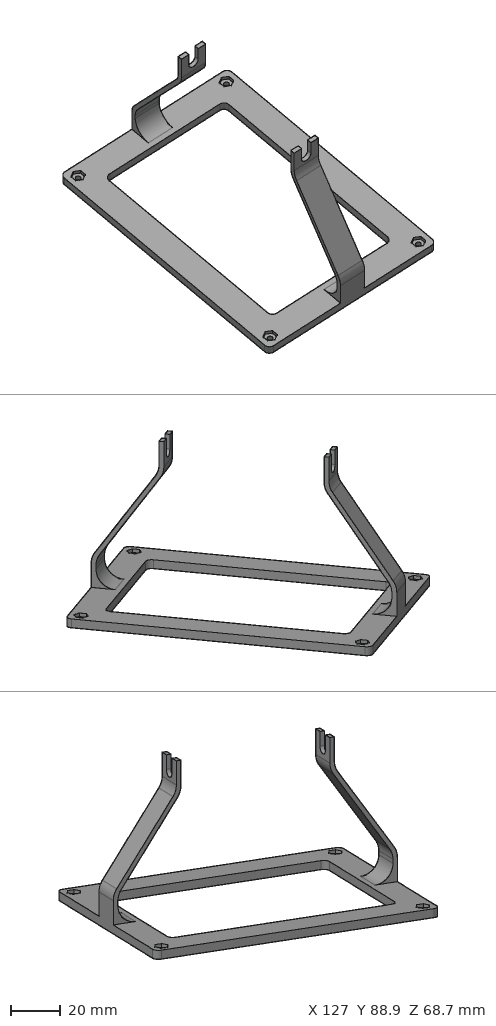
import cadquery as cq
import math

LENGTH = 127.0
WIDTH = 88.9
HEIGHT = 68.7
PLATE = 3.8
BORDER = 12.7
CORNER_RADIUS = 2.5

HOLE_INSET = 5.1
HOLE_DIAMETER = 2.3
NUT_FLATS = 5.1
NUT_DEPTH = 1.5

ARM_WIDTH = 12.8
ARM_THICKNESS = 2.0
ARM_REACH = 30.2
LOWER_BEND_Z = 16.6
UPPER_BEND_Z = 56.0
BEND_RADIUS = 8.0
FOOT_RADIUS = 8.0
SLOT_WIDTH = 5.0
SLOT_DEPTH = 8.6


def make_frame():
    plate = cq.Workplane("XY").box(LENGTH, WIDTH, PLATE, centered=(True, True, False))
    opening = cq.Workplane("XY").box(
        LENGTH - 2 * BORDER, WIDTH - 2 * BORDER, PLATE, centered=(True, True, False)
    )
    frame = plate.edges("|Z").fillet(CORNER_RADIUS).cut(opening.edges("|Z").fillet(CORNER_RADIUS))
    hole_pattern = (
        cq.Workplane("XY")
        .rect(LENGTH - 2 * HOLE_INSET, WIDTH - 2 * HOLE_INSET, forConstruction=True)
        .vertices()
    )
    holes = hole_pattern.circle(HOLE_DIAMETER / 2).extrude(PLATE)
    nut_corners = NUT_FLATS / math.cos(math.radians(30))
    nuts = hole_pattern.polygon(6, nut_corners).extrude(NUT_DEPTH)
    return frame.cut(holes).cut(nuts.translate((0, 0, PLATE - NUT_DEPTH)))


def make_left_arm():
    outer_x = -LENGTH / 2
    inner_x = outer_x + ARM_THICKNESS
    tip_inner_x = outer_x + ARM_REACH
    tip_outer_x = tip_inner_x - ARM_THICKNESS

    slope = math.atan2(tip_outer_x - outer_x, UPPER_BEND_Z - LOWER_BEND_Z)
    miter_drop = ARM_THICKNESS * math.tan(slope / 2)
    profile = [
        (outer_x, PLATE),
        (outer_x, LOWER_BEND_Z),
        (tip_outer_x, UPPER_BEND_Z),
        (tip_outer_x, HEIGHT),
        (tip_inner_x, HEIGHT),
        (tip_inner_x, UPPER_BEND_Z - miter_drop),
        (inner_x, LOWER_BEND_Z - miter_drop),
        (inner_x, PLATE),
    ]
    arm = cq.Workplane("XZ").polyline(profile).close().extrude(ARM_WIDTH / 2, both=True)

    for x, z in (profile[1], profile[2], profile[5], profile[6]):
        bend_edge = arm.edges(cq.selectors.NearestToPointSelector((x, 0, z)))
        arm = bend_edge.fillet(BEND_RADIUS)

    foot_x = inner_x + FOOT_RADIUS
    foot_z = PLATE + FOOT_RADIUS
    diagonal = FOOT_RADIUS * math.sqrt(0.5)
    foot = (
        cq.Workplane("XZ")
        .moveTo(inner_x, PLATE)
        .lineTo(foot_x, PLATE)
        .threePointArc((foot_x - diagonal, foot_z - diagonal), (inner_x, foot_z))
        .close()
        .extrude(ARM_WIDTH / 2, both=True)
    )

    slot_center_z = HEIGHT - SLOT_DEPTH + SLOT_WIDTH / 2
    slot_top = (
        cq.Workplane("XY")
        .box(ARM_THICKNESS, SLOT_WIDTH, HEIGHT - slot_center_z, centered=(False, True, False))
        .translate((tip_outer_x, 0, slot_center_z))
    )
    slot_bottom = (
        cq.Workplane("YZ", origin=(tip_outer_x, 0, slot_center_z))
        .circle(SLOT_WIDTH / 2)
        .extrude(ARM_THICKNESS)
    )
    return arm.union(foot).cut(slot_top).cut(slot_bottom)


left_arm = make_left_arm()
right_arm = left_arm.mirror("YZ")
result = make_frame().union(left_arm).union(right_arm)